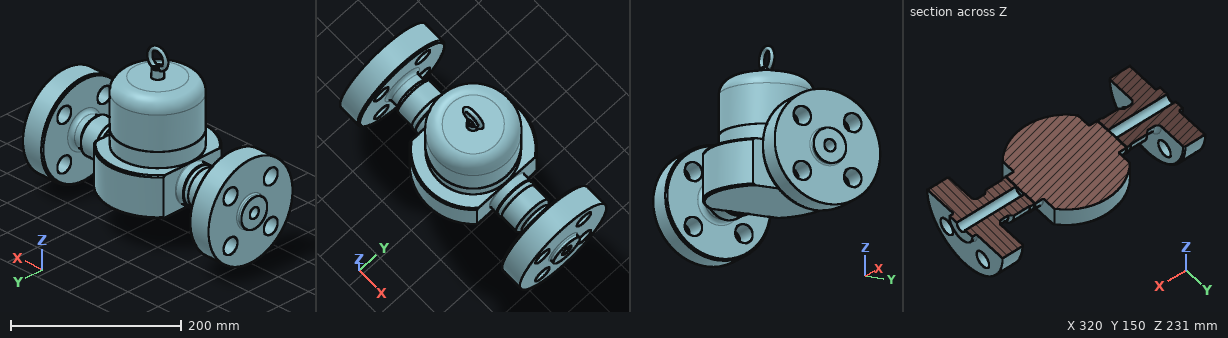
import cadquery as cq
import math


overall_length = 320.0
joint_x = 70.0

block_diameter = 150.0
block_width = 115.0
block_top = 28.5
block_bottom = -29.0
block_chamfer = 2.0
stub_diameter = 55.5
stub_end_chamfer = 0.8
stub_root_fillet = 0.5

collar_diameter = 113.0
dome_diameter = 113.3
seam_height = 50.5
dome_top = 120.3
dome_fillet = 20.0

post_base_radius = 8.0
post_top_radius = 7.0
post_top = 134.0
post_chamfer = 1.5
ring_outer_diameter = 32.5
ring_wire_diameter = 6.5
ring_top = 161.0

flange_diameter = 140.0
flange_thickness = 32.3
flange_chamfer = 2.0
face_diameter = 43.0
face_height = 6.0
face_fillet = 2.0
neck_diameter = 44.0
neck_fillet = 5.8
pipe_diameter = 53.0
taper_outer_x = 105.5
taper_inner_x = 101.0
bead_outer_x = 76.8
bead_peak_radius = 28.0
bead_root_radius = stub_diameter / 2 - stub_end_chamfer
bolt_hole_diameter = 23.0
bolt_circle_diameter = 94.7
bolt_count = 4
bore_diameter = 15.0


def make_block():
    """Chamfered round block with two flat sides and a pipe stub on each."""
    height = block_top - block_bottom
    block = (
        cq.Workplane("XY", origin=(0, 0, block_bottom))
        .circle(block_diameter / 2)
        .extrude(height)
        .edges()
        .chamfer(block_chamfer)
    )
    flats = cq.Workplane("XY", origin=(0, 0, block_bottom)).rect(block_width, block_diameter).extrude(height)
    stubs = (
        cq.Workplane("YZ", origin=(-joint_x, 0, 0))
        .circle(stub_diameter / 2)
        .extrude(2 * joint_x)
        .faces("<X or >X")
        .edges()
        .chamfer(stub_end_chamfer)
    )
    body = block.intersect(flats).union(stubs)
    for side in (-1, 1):
        flat_point = (side * block_width / 2, 0, 0)
        flat_face = cq.selectors.NearestToPointSelector(flat_point)
        body = body.faces("|X").faces(flat_face).edges("%CIRCLE").fillet(stub_root_fillet)
    return body


def make_dome():
    """Collar and rounded cover above the block."""
    collar = (
        cq.Workplane("XY", origin=(0, 0, block_top))
        .circle(collar_diameter / 2)
        .extrude(seam_height - block_top)
    )
    cover = (
        cq.Workplane("XY", origin=(0, 0, seam_height))
        .circle(dome_diameter / 2)
        .extrude(dome_top - seam_height)
        .faces(">Z")
        .edges()
        .fillet(dome_fillet)
    )
    return collar.union(cover)


def make_lifting_eye():
    """Tapered post with an upright ring in the XZ plane."""
    post = (
        cq.Workplane("XZ")
        .moveTo(0, dome_top)
        .lineTo(post_base_radius, dome_top)
        .lineTo(post_top_radius, post_top - post_chamfer)
        .lineTo(post_top_radius - post_chamfer, post_top)
        .lineTo(0, post_top)
        .close()
        .revolve(360, (0, 0, 0), (0, 1, 0))
    )
    ring_radius = (ring_outer_diameter - ring_wire_diameter) / 2
    ring_center = cq.Vector(0, 0, ring_top - ring_outer_diameter / 2)
    ring = cq.Solid.makeTorus(ring_radius, ring_wire_diameter / 2, ring_center, cq.Vector(0, 1, 0))
    return post.union(cq.Workplane(ring))


def make_housing():
    return make_block().union(make_dome()).union(make_lifting_eye())


def make_flange_end():
    """Flange on the +X side: weld bead, pipe, neck, disc and raised face in one turned body."""
    end_x = overall_length / 2
    disc_outer_x = end_x - face_height
    disc_inner_x = disc_outer_x - flange_thickness
    disc_radius = flange_diameter / 2
    neck_radius = neck_diameter / 2
    pipe_radius = pipe_diameter / 2
    face_radius = face_diameter / 2
    arc_inset = 1 - math.sqrt(0.5)

    profile = (
        cq.Workplane("XY")
        .moveTo(joint_x, 0)
        .lineTo(joint_x, bead_root_radius)
        .threePointArc(((joint_x + bead_outer_x) / 2, bead_peak_radius), (bead_outer_x, pipe_radius))
        .lineTo(taper_inner_x, pipe_radius)
        .lineTo(taper_outer_x, neck_radius)
        .lineTo(disc_inner_x - neck_fillet, neck_radius)
        .threePointArc(
            (disc_inner_x - neck_fillet * arc_inset, neck_radius + neck_fillet * arc_inset),
            (disc_inner_x, neck_radius + neck_fillet),
        )
        .lineTo(disc_inner_x, disc_radius - flange_chamfer)
        .lineTo(disc_inner_x + flange_chamfer, disc_radius)
        .lineTo(disc_outer_x, disc_radius)
        .lineTo(disc_outer_x, face_radius + face_fillet)
        .threePointArc(
            (disc_outer_x + face_fillet * arc_inset, face_radius + face_fillet * arc_inset),
            (disc_outer_x + face_fillet, face_radius),
        )
        .lineTo(end_x, face_radius)
        .lineTo(end_x, 0)
        .close()
    )
    flange = profile.revolve(360, (0, 0, 0), (1, 0, 0))

    bolt_holes = (
        cq.Workplane("YZ", origin=(disc_inner_x, 0, 0))
        .polarArray(bolt_circle_diameter / 2, 360 / bolt_count / 2, 360, bolt_count)
        .circle(bolt_hole_diameter / 2)
        .extrude(flange_thickness)
    )
    bore = cq.Workplane("YZ", origin=(joint_x, 0, 0)).circle(bore_diameter / 2).extrude(end_x - joint_x)
    return flange.cut(bolt_holes).cut(bore)


housing = make_housing()
flange_ends = []
for turn in (0, 180):
    flange_ends.append(make_flange_end().rotate((0, 0, 0), (0, 0, 1), turn))

result = cq.Compound.makeCompound([housing.val(), *[flange.val() for flange in flange_ends]])